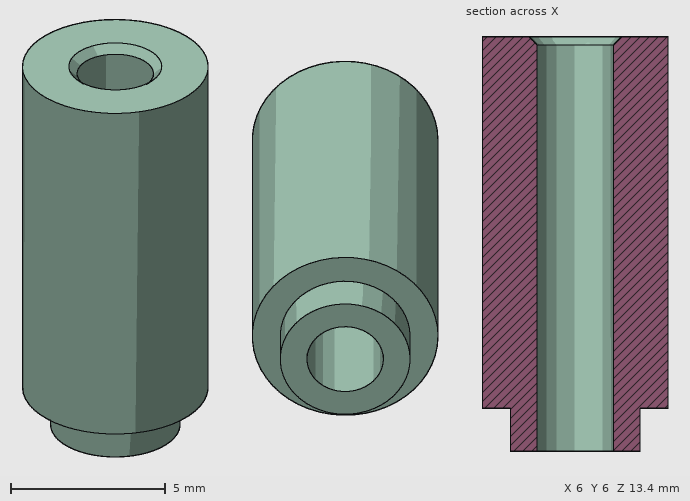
import cadquery as cq

total_height = 13.4
body_diameter = 6.0
spigot_diameter = 4.2
spigot_height = 1.4
bore_diameter = 2.47
countersink_diameter = 3.0

body_height = total_height - spigot_height
countersink_depth = (countersink_diameter - bore_diameter) / 2

spigot = cq.Workplane("XY").circle(spigot_diameter / 2).extrude(spigot_height)
spacer = spigot.faces(">Z").workplane().circle(body_diameter / 2).extrude(body_height)

spacer = spacer.faces(">Z").workplane().hole(bore_diameter)

result = spacer.faces(">Z").edges("%CIRCLE").edges(
    cq.selectors.RadiusNthSelector(0)
).chamfer(countersink_depth)